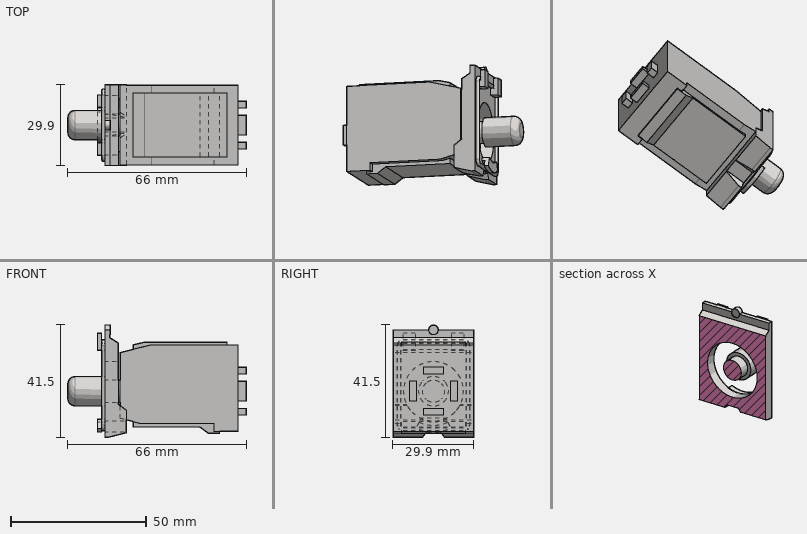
import cadquery as cq
import math

OVERLAP = 0.3

plate_front = 13.7
plate_width = 29.9
plate_top = 22.7
plate_bottom = -17.0
plate_lip_back = 15.55
plate_lip_bottom = 19.8
plate_back = 18.7
plate_back_top = 17.8
plate_back_bottom = -4.8
plate_foot_back = 21.7
plate_foot_top = -7.05
plate_foot_bottom = -15.35
plate_sole_back = 15.1
bore_radius = 11.0
tab_radius = 1.8
tab_thickness = 2.05
notch_roof = -15.05
notch_roof_half_width = 2.6
notch_bottom_half_width = 4.0

body_front = 19.3
body_back = 63.0
body_width = 29.6
body_top = 17.15
body_bottom = -12.0
body_nose_top = 14.3
body_nose_bottom = -9.95
body_top_bend = 31.0
body_bottom_bend = 27.05
heel_front = 53.95
heel_bottom = -14.85

panel_front = 24.15
panel_bend = 28.3
panel_back = 58.9
panel_width = 23.6
panel_top = 18.15
latch_ramp_start = 48.8
latch_ramp_end = 52.0
latch_back = 56.1
latch_bottom = -15.55
rail_bottom = -13.25
latch_width = panel_width

plunger_radius = 5.5
tip_fillet = 2.8
plunger_end = plate_front
stem_radius = 4.1

blade_end = 65.95
blade_length = 7.4
blade_thickness = 2.6
blade_offset = 7.6

wire_diameter = 1.4
wire_radius = wire_diameter / 2
wire_front = 12.5
wire_half_width = 12.7
wire_top = 18.4
wire_bottom = -14.0
wire_bend = 1.5
clip_front = 10.95
clip_inner = 6.6
clip_outer = 11.2
clip_top = 21.5
clip_bottom = 15.1
arc_clip_inner = 11.4
arc_clip_outer = 15.1
arc_clip_foot_outer = 12.65
arc_clip_half_angle = math.radians(25)


def box(x0, x1, y0, y1, z0, z1):
    """Box between opposite corners."""
    return cq.Workplane("XY").box(x1 - x0, y1 - y0, z1 - z0, centered=False).translate((x0, y0, z0))


def side_profile(points, width):
    """XZ outline extruded evenly to both sides of Y = 0."""
    return cq.Workplane("XZ").polyline(points).close().extrude(width / 2, both=True)


def rod(radius, x0, x1, z=0):
    """Round bar along X."""
    return cq.Workplane("YZ", origin=(x0, 0, z)).circle(radius).extrude(x1 - x0)


def make_plate():
    """Stepped front plate with a top tab, a plunger bore and a notch in its lower edge."""
    outline = [
        (plate_front, plate_top),
        (plate_lip_back, plate_top),
        (plate_lip_back, plate_lip_bottom),
        (plate_back, plate_back_top),
        (plate_back, plate_back_bottom),
        (plate_foot_back, plate_foot_top),
        (plate_foot_back, plate_foot_bottom),
        (plate_sole_back, plate_bottom),
        (plate_front, plate_bottom),
    ]
    plate = side_profile(outline, plate_width)
    plate = plate.union(rod(tab_radius, plate_front, plate_front + tab_thickness, plate_top))
    notch = (
        cq.Workplane("YZ", origin=(plate_front, 0, 0))
        .polyline([
            (-notch_bottom_half_width, plate_bottom),
            (-notch_roof_half_width, notch_roof),
            (notch_roof_half_width, notch_roof),
            (notch_bottom_half_width, plate_bottom),
        ])
        .close()
        .extrude(plate_foot_back - plate_front)
    )
    bore = rod(bore_radius, plate_front, plate_foot_back)
    return plate.cut(notch).cut(bore)


def make_body():
    """Main block with a tapered nose and a heel at the rear."""
    outline = [
        (body_front, body_nose_top),
        (body_top_bend, body_top),
        (body_back, body_top),
        (body_back, heel_bottom),
        (heel_front, heel_bottom),
        (heel_front, body_bottom),
        (body_bottom_bend, body_bottom),
        (body_front, body_nose_bottom),
    ]
    return side_profile(outline, body_width)


def make_panel():
    """Label panel on top, rooted inside the body."""
    outline = [
        (panel_front, body_top),
        (panel_bend, panel_top),
        (panel_back, panel_top),
        (panel_back, body_nose_top),
        (panel_front, body_nose_top),
    ]
    return side_profile(outline, panel_width)


def make_latch():
    """Rail under the body that ramps down to a latch, rooted inside the body."""
    outline = [
        (panel_front, rail_bottom),
        (latch_ramp_start, rail_bottom),
        (latch_ramp_end, latch_bottom),
        (latch_back, latch_bottom),
        (latch_back, body_nose_bottom),
        (panel_front, body_nose_bottom),
    ]
    return side_profile(outline, latch_width)


def make_plunger():
    """Rounded push head on a thinner stem that reaches the body."""
    head = rod(plunger_radius, 0, plunger_end).faces("<X").edges().fillet(tip_fillet)
    return head.union(rod(stem_radius, plunger_end - OVERLAP, body_front + OVERLAP))


def make_blades():
    """Four flat contacts in a square ring on the rear face."""
    blade = box(
        body_back - OVERLAP, blade_end,
        -blade_length / 2, blade_length / 2,
        blade_offset - blade_thickness / 2, blade_offset + blade_thickness / 2,
    )
    blades = blade
    for quarter in (1, 2, 3):
        blades = blades.union(blade.rotate((0, 0, 0), (1, 0, 0), 90 * quarter))
    return blades


def make_wire():
    """Round wire bent into a rounded rectangle and partly sunk into the plate."""
    wire_x = wire_front + wire_radius
    height = wire_top - wire_bottom
    mid_z = (wire_top + wire_bottom) / 2
    bend_z = height / 2 - wire_bend
    frame = cq.Workplane("XY")
    for side in (-1, 1):
        upright = (
            cq.Workplane("XY", origin=(wire_x, side * wire_half_width, mid_z - bend_z))
            .circle(wire_radius)
            .extrude(2 * bend_z)
        )
        frame = frame.union(upright)
    bend_y = wire_half_width - wire_bend
    for z in (wire_bottom, wire_top):
        crossbar = (
            cq.Workplane("XZ", origin=(wire_x, bend_y, z))
            .circle(wire_radius)
            .extrude(2 * bend_y)
        )
        frame = frame.union(crossbar)
    for side in (-1, 1):
        for end in (-1, 1):
            bend = (
                cq.Workplane("XY", origin=(wire_x, side * wire_half_width, mid_z + end * bend_z))
                .circle(wire_radius)
                .revolve(90, (0, -side * wire_bend, 0), (side * end, -side * wire_bend, 0))
            )
            frame = frame.union(bend)
    return frame


def make_top_clips():
    """Two hooks over the top of the wire, each with a foot below the wire."""
    clips = cq.Workplane("XY")
    for y in (-clip_outer, clip_inner):
        y_end = y + clip_outer - clip_inner
        clips = clips.union(box(clip_front, wire_front, y, y_end, clip_bottom, clip_top))
        foot_top = wire_top - wire_radius
        clips = clips.union(box(clip_front, plate_front + OVERLAP, y, y_end, clip_bottom, foot_top))
    return clips


def arc_segment(inner, outer, x0, x1):
    """Ring segment centred below the plunger axis."""
    def at(radius, angle):
        return radius * math.sin(angle), -radius * math.cos(angle)

    a = arc_clip_half_angle
    return (
        cq.Workplane("YZ", origin=(x0, 0, 0))
        .moveTo(*at(inner, -a))
        .threePointArc(at(inner, 0), at(inner, a))
        .lineTo(*at(outer, a))
        .threePointArc(at(outer, 0), at(outer, -a))
        .close()
        .extrude(x1 - x0)
    )


def make_bottom_clip():
    """Curved hook over the lower wire, with a foot above the wire."""
    hook = arc_segment(arc_clip_inner, arc_clip_outer, clip_front, wire_front)
    foot = arc_segment(arc_clip_inner, arc_clip_foot_outer, clip_front, plate_front + OVERLAP)
    return hook.union(foot)


result = make_body()
for piece in (
    make_plate(), make_panel(), make_latch(), make_plunger(), make_blades(),
    make_wire(), make_top_clips(), make_bottom_clip(),
):
    result = result.union(piece)